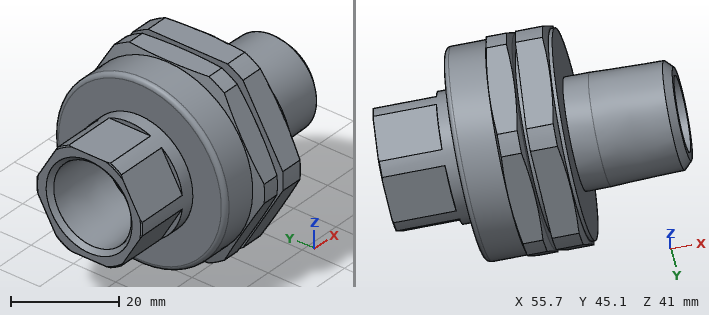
import cadquery as cq
import math


HEX_END_X = 12.0
FLANGE_START_X = 15.0
FLANGE_NUT_START_X = 23.0
FLANGE_NUT_END_X = 28.0
LOCK_NUT_START_X = 29.1
LOCK_NUT_END_X = 34.8
WASHER_END_X = 35.5
TOTAL_LENGTH = 55.73

COLLAR_DIAMETER = 25.0
FLANGE_DIAMETER = 40.5
NECK_DIAMETER = 35.0
WASHER_DIAMETER = 40.0
SPIGOT_DIAMETER = 21.52
BORE_DIAMETER = 14.5

SOCKET_HEX_FLATS = 23.0
NUT_HEX_FLATS = 41.0
NUT_CORNER_DIAMETER = 45.1
NUT_CHAMFER_LENGTH = 0.6
COLLAR_CHAMFER_LENGTH = 0.17
COLLAR_CHAMFER_DEPTH = 0.3

FLANGE_FILLET = 1.0
SPIGOT_CHAMFER = 1.5
MALE_TAPER_LENGTH = 13.9
THREAD_TAPER = 1 / 16

SOCKET_DIAMETER = 18.3
SOCKET_MOUTH_CHAMFER = 1.0
SOCKET_DEPTH = 16.0


def cylinder(start_x, end_x, diameter):
    return cq.Workplane("YZ", origin=(start_x, 0, 0)).circle(diameter / 2).extrude(end_x - start_x)


def hex_prism(start_x, end_x, across_flats):
    across_corners = across_flats / math.cos(math.pi / 6)
    return cq.Workplane("YZ", origin=(start_x, 0, 0)).polygon(6, across_corners).extrude(end_x - start_x)


def revolved(profile):
    """Turn a closed (x, radius) profile about the X axis."""
    return cq.Workplane("XZ").polyline(profile).close().revolve(360, (0, 0, 0), (1, 0, 0))


def hex_nut(start_x, end_x, start_chamfer_length):
    """Hexagon turned down at its corners, with conical chamfers down to the flange radius."""
    corner_radius = NUT_CORNER_DIAMETER / 2
    face_radius = FLANGE_DIAMETER / 2
    profile = [(start_x, 0)]
    if start_chamfer_length > 0:
        profile.append((start_x, face_radius))
    profile += [
        (start_x + start_chamfer_length, corner_radius),
        (end_x - NUT_CHAMFER_LENGTH, corner_radius),
        (end_x, face_radius),
        (end_x, 0),
    ]
    return hex_prism(start_x, end_x, NUT_HEX_FLATS).intersect(revolved(profile))


def collar():
    """Round collar with six wrench flats over its free end and a small end chamfer."""
    radius = COLLAR_DIAMETER / 2
    turned = revolved([
        (0, 0),
        (0, radius - COLLAR_CHAMFER_DEPTH),
        (COLLAR_CHAMFER_LENGTH, radius),
        (FLANGE_START_X, radius),
        (FLANGE_START_X, 0),
    ])
    around_hex = cylinder(0, HEX_END_X, FLANGE_DIAMETER).cut(hex_prism(0, HEX_END_X, SOCKET_HEX_FLATS))
    return turned.cut(around_hex)


def flange():
    disc = cylinder(FLANGE_START_X, FLANGE_NUT_START_X, FLANGE_DIAMETER)
    return disc.faces("<X").edges().fillet(FLANGE_FILLET)


def spigot():
    """Plain shank followed by the tapered male end with its lead-in chamfer."""
    shank_radius = SPIGOT_DIAMETER / 2
    chamfer_x = TOTAL_LENGTH - SPIGOT_CHAMFER
    taper_end_radius = shank_radius - MALE_TAPER_LENGTH * THREAD_TAPER / 2
    return revolved([
        (WASHER_END_X, 0),
        (WASHER_END_X, shank_radius),
        (chamfer_x - MALE_TAPER_LENGTH, shank_radius),
        (chamfer_x, taper_end_radius),
        (TOTAL_LENGTH, taper_end_radius - SPIGOT_CHAMFER),
        (TOTAL_LENGTH, 0),
    ])


def bore():
    """Chamfered, tapered socket that narrows to the through bore."""
    socket_radius = SOCKET_DIAMETER / 2
    taper_length = SOCKET_DEPTH - SOCKET_MOUTH_CHAMFER
    socket = revolved([
        (0, 0),
        (0, socket_radius + SOCKET_MOUTH_CHAMFER),
        (SOCKET_MOUTH_CHAMFER, socket_radius),
        (SOCKET_DEPTH, socket_radius - taper_length * THREAD_TAPER / 2),
        (SOCKET_DEPTH, 0),
    ])
    return socket.union(cylinder(0, TOTAL_LENGTH, BORE_DIAMETER))


body = collar()
body = body.union(flange())
body = body.union(hex_nut(FLANGE_NUT_START_X, FLANGE_NUT_END_X, NUT_CHAMFER_LENGTH))
body = body.union(cylinder(FLANGE_NUT_END_X, LOCK_NUT_START_X, NECK_DIAMETER))
body = body.union(hex_nut(LOCK_NUT_START_X, LOCK_NUT_END_X, 0))
body = body.union(cylinder(LOCK_NUT_END_X, WASHER_END_X, WASHER_DIAMETER))
body = body.union(spigot())

result = body.cut(bore())